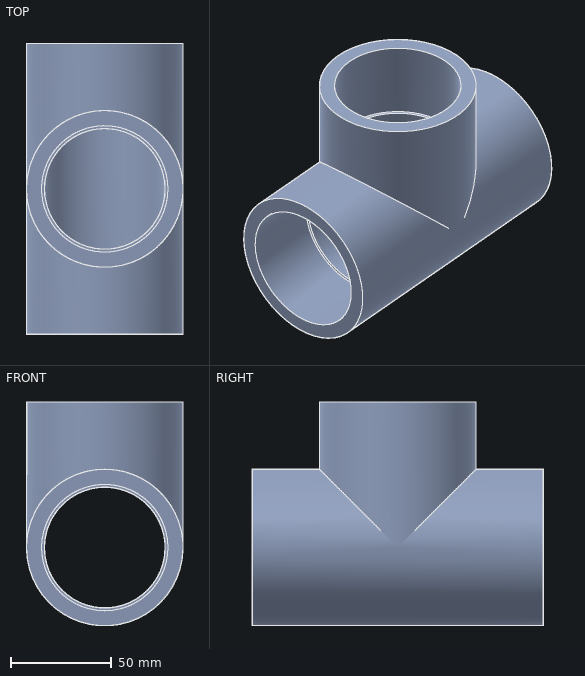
import cadquery as cq

run_length = 145.0
outer_diameter = 78.0
socket_diameter = 63.0
bore_diameter = 60.0
socket_depth = 39.0

end_distance = run_length / 2
socket_start = end_distance - socket_depth


def arm(diameter, start, end, direction):
    """Cylinder about an axis through the origin, between two distances along it."""
    axis = cq.Vector(*direction)
    return cq.Workplane(cq.Solid.makeCylinder(diameter / 2, end - start, axis * start, axis))


arm_directions = [(0, -1, 0), (0, 1, 0), (0, 0, 1)]
branch_direction = (0, 0, 1)
run_direction = (0, 1, 0)

body = arm(outer_diameter, -end_distance, end_distance, run_direction)
body = body.union(arm(outer_diameter, 0, end_distance, branch_direction))

body = body.cut(arm(bore_diameter, -end_distance, end_distance, run_direction))
body = body.cut(arm(bore_diameter, 0, end_distance, branch_direction))

for direction in arm_directions:
    body = body.cut(arm(socket_diameter, socket_start, end_distance, direction))

result = body